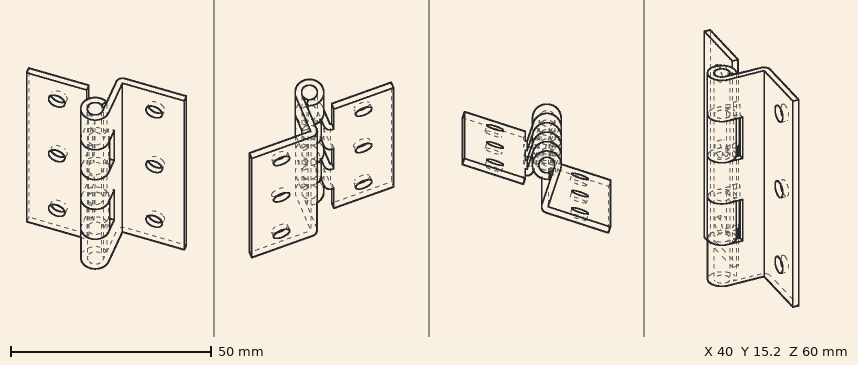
import cadquery as cq
import math

HEIGHT = 60.0
WIDTH = 40.0
SHEET = 1.6
KNUCKLE_RADIUS = 3.6
RIGHT_LEAF_BACK = 11.6
LEFT_LEAF_BACK = 6.5
CLEARANCE = 0.4
CURL_END_ANGLE = 58.0
HOLE_DIAMETER = 4.3
HOLE_SPACING = 22.0
HOLE_OFFSET = 12.0
HOLE_COUNT = 3
KNUCKLE_COUNT = 5

PIN_RADIUS = KNUCKLE_RADIUS - SHEET
HALF_WIDTH = WIDTH / 2
KNUCKLE_LENGTH = HEIGHT / KNUCKLE_COUNT
CUT_DISTANCE = KNUCKLE_RADIUS + CLEARANCE
RIGHT_KNUCKLES = range(0, KNUCKLE_COUNT, 2)
LEFT_KNUCKLES = range(1, KNUCKLE_COUNT, 2)


def polar(radius, degrees):
    """Point at a given radius and angle around the hinge axis."""
    angle = math.radians(degrees)
    return (radius * math.cos(angle), radius * math.sin(angle))


def bent_sheet(back):
    """Flat, bend, leg and curl of a leaf on the +X side, over the full height."""
    front = back - SHEET
    bend_mid_x = KNUCKLE_RADIUS - SHEET * math.cos(math.pi / 4)
    bend_mid_y = front + SHEET * math.sin(math.pi / 4)
    curl_mid_angle = (CURL_END_ANGLE - 360) / 2
    return (
        cq.Workplane("XY", origin=(0, 0, -HEIGHT / 2))
        .moveTo(HALF_WIDTH, front)
        .lineTo(HALF_WIDTH, back)
        .lineTo(KNUCKLE_RADIUS, back)
        .threePointArc((bend_mid_x, bend_mid_y), (PIN_RADIUS, front))
        .lineTo(PIN_RADIUS, 0)
        .threePointArc(polar(PIN_RADIUS, curl_mid_angle), polar(PIN_RADIUS, CURL_END_ANGLE))
        .lineTo(*polar(KNUCKLE_RADIUS, CURL_END_ANGLE))
        .threePointArc(polar(KNUCKLE_RADIUS, curl_mid_angle), (KNUCKLE_RADIUS, 0))
        .lineTo(KNUCKLE_RADIUS, front)
        .close()
        .extrude(HEIGHT)
    )


def knuckle_notch(index, x_limit, y_limit):
    """Block clearing one knuckle length, up to the given X and Y limits."""
    bottom = -HEIGHT / 2 + index * KNUCKLE_LENGTH
    size_x = x_limit + CUT_DISTANCE
    size_y = y_limit + CUT_DISTANCE
    return (
        cq.Workplane("XY", origin=(-CUT_DISTANCE, -CUT_DISTANCE, bottom))
        .box(size_x, size_y, KNUCKLE_LENGTH, centered=False)
    )


def screw_holes(back):
    """Row of cylinders passing through the flat of a leaf."""
    return (
        cq.Workplane("XZ", origin=(HOLE_OFFSET, back, 0))
        .rarray(0.6, HOLE_SPACING, 1, HOLE_COUNT)
        .circle(HOLE_DIAMETER / 2)
        .extrude(SHEET)
    )


def make_leaf(back, notches, notch_x_limit, notch_y_limit):
    """Complete leaf lying on the +X side of the hinge axis."""
    leaf = bent_sheet(back).cut(screw_holes(back))
    for index in notches:
        leaf = leaf.cut(knuckle_notch(index, notch_x_limit, notch_y_limit))
    return leaf.solids()


right_leaf = make_leaf(RIGHT_LEAF_BACK, LEFT_KNUCKLES, CUT_DISTANCE, CUT_DISTANCE)

left_leaf = make_leaf(LEFT_LEAF_BACK, RIGHT_KNUCKLES, CUT_DISTANCE, LEFT_LEAF_BACK).mirror("YZ")

pin = cq.Workplane("XY").circle(PIN_RADIUS).extrude(HEIGHT / 2, both=True)

result = cq.Compound.makeCompound([right_leaf.val(), left_leaf.val(), pin.val()])